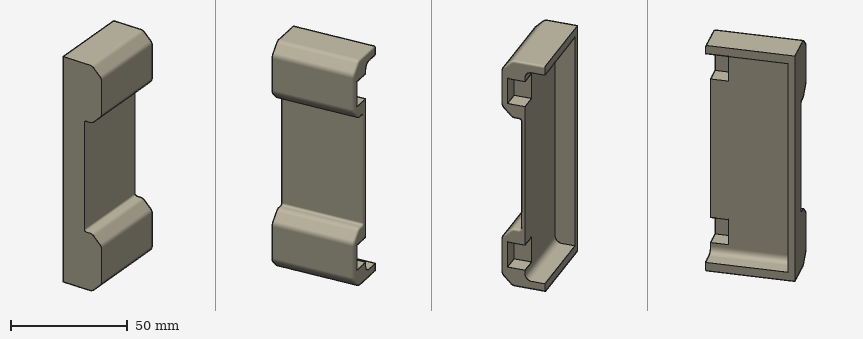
import cadquery as cq

thickness = 20.0
depth = 39.6
height = 110.0

web_thickness = 11.0
pad_height = 28.0
pad_chamfer = 5.0
pad_corner_radius = 3.0
web_corner_radius = 1.0
rear_edge_radius = 1.0

side_wall = 3.1
end_wall = 4.1
pocket_depth = 9.1
pocket_fillet = 3.1

notch_offset = 9.0
notch_height = 12.2
notch_length = 7.9
notch_depth = 8.0

half_height = height / 2
web_half_height = half_height - pad_height
chamfer_start_x = thickness - pad_chamfer


def corner_edges(body, x, z):
    """Select the Y-parallel edges at (x, +z) and (x, -z)."""
    tolerance = 0.01
    selected = None
    for edge_z in (z, -z):
        box = cq.selectors.BoxSelector(
            (x - tolerance, -tolerance, edge_z - tolerance),
            (x + tolerance, depth + tolerance, edge_z + tolerance),
            boundingbox=True,
        )
        selected = box if selected is None else selected + box
    return body.edges(selected)


def make_body():
    """Extrude the two-pad profile along Y and round its corners."""
    upper_points = [
        (web_thickness, web_half_height),
        (chamfer_start_x, web_half_height),
        (thickness, web_half_height + pad_chamfer),
        (thickness, half_height - pad_chamfer),
        (chamfer_start_x, half_height),
    ]
    lower_points = [(x, -z) for x, z in reversed(upper_points)]
    outline = lower_points + upper_points + [(0, half_height), (0, -half_height)]
    body = cq.Workplane("XZ").polyline(outline).close().extrude(-depth)

    for x, z in upper_points:
        radius = web_corner_radius if x == web_thickness else pad_corner_radius
        body = corner_edges(body, x, z).fillet(radius)
    return body


def round_rear_edges(body):
    """Round the +Y outline, leaving its straight edge on the -X face sharp."""
    return body.faces(">Y").edges("not <X").fillet(rear_edge_radius)


def make_pocket():
    """Cutter for the pocket, with rounded corners at the two ends of its floor."""
    pocket = cq.Workplane("XY").box(
        pocket_depth, depth - side_wall, height - 2 * end_wall, centered=(False, False, True)
    )
    pocket = pocket.edges("|Y and >X").fillet(pocket_fillet)
    return pocket.translate((0, side_wall, 0))


def make_notches():
    """Cutters for the two notches, mirrored about mid height."""
    notch_center = half_height - notch_offset - notch_height / 2
    return (
        cq.Workplane("YZ")
        .pushPoints([(depth - notch_length / 2, z) for z in (notch_center, -notch_center)])
        .rect(notch_length, notch_height)
        .extrude(pocket_depth + notch_depth)
    )


result = round_rear_edges(make_body()).cut(make_pocket()).cut(make_notches())